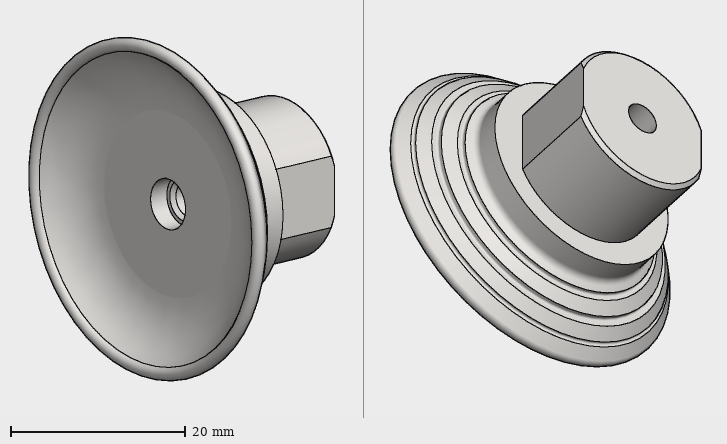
import cadquery as cq
import math

length = 22.0
cup_radius = 20.0
rim_bead_radius = 0.8
bead_end_angle = 40.0

floor_radius = 10.95
floor_depth = 4.0
wall_arc_radius = 10.0

skirt_steps = [
    (18.2, 3.0, 2.58, 18.6),
    (15.95, 4.9, 4.25, 16.85),
    (13.7, 6.45, 5.9, 14.4),
]
step_fillet = 0.25

collar_radius = 12.5
collar_front = 7.7
collar_back = 10.5
neck_end_radius = 13.0
neck_end = 6.85
spigot_radius = 9.5
spigot_chamfer = 0.5
width_across_flats = 17.0

bore_radius = 2.0
seat_radius = 2.5
counterbore_radius = 3.0
counterbore_depth = 2.5
seat_length = 0.5

bead_centre_radius = cup_radius - rim_bead_radius


def wall_point(angle):
    """Point (radius, depth) on the bowl wall, at an angle swept from the floor edge."""
    return (
        floor_radius + wall_arc_radius * math.sin(angle),
        floor_depth - wall_arc_radius * (1 - math.cos(angle)),
    )


def mouth_angle():
    """Sweep of the bowl wall, from the floor edge to where its arc meets the bead circle."""
    across = bead_centre_radius - floor_radius
    along = rim_bead_radius - (floor_depth - wall_arc_radius)
    distance = math.hypot(across, along)
    cosine = (wall_arc_radius**2 + distance**2 - rim_bead_radius**2) / (2 * wall_arc_radius * distance)
    return math.atan2(across, along) - math.acos(cosine)


def make_cup():
    """Solid of revolution: bowl, bead rim, stepped skirt, neck and collar."""
    wall_sweep = mouth_angle()
    end_angle = math.radians(bead_end_angle)
    bead_end = (
        bead_centre_radius + rim_bead_radius * math.sin(end_angle),
        rim_bead_radius * (1 + math.cos(end_angle)),
    )
    profile = (
        cq.Workplane("XY")
        .moveTo(0, floor_depth)
        .lineTo(floor_radius, floor_depth)
        .threePointArc(wall_point(wall_sweep / 2), wall_point(wall_sweep))
        .threePointArc((bead_centre_radius, 0), bead_end)
    )
    fillet_middle = step_fillet * (1 - math.sqrt(0.5))
    for radius, back, front, plane_radius in skirt_steps:
        profile = (
            profile.lineTo(plane_radius, front)
            .lineTo(radius + step_fillet, front)
            .threePointArc(
                (radius + fillet_middle, front + fillet_middle),
                (radius, front + step_fillet),
            )
            .lineTo(radius, back)
        )
    return (
        profile.lineTo(neck_end_radius, neck_end)
        .tangentArcPoint((collar_radius, collar_front), relative=False)
        .lineTo(collar_radius, collar_back)
        .lineTo(0, collar_back)
        .close()
        .revolve(360, (0, 0), (0, 1))
    )


def make_spigot():
    """Round spigot behind the collar, chamfered at the back, with two flats facing +X and -X."""
    spigot_length = length - collar_front
    round_bar = (
        cq.Workplane("XZ", origin=(0, collar_front, 0))
        .circle(spigot_radius)
        .extrude(-spigot_length)
        .faces(">Y")
        .chamfer(spigot_chamfer)
    )
    flats = cq.Workplane("XY").box(width_across_flats, 2 * length, 2 * spigot_radius)
    return round_bar.intersect(flats)


def make_bore():
    """Counterbore behind the cup floor, conical seat, then a plain hole through the spigot."""
    seat_start = floor_depth + counterbore_depth
    seat_end = seat_start + seat_length
    return (
        cq.Workplane("XY")
        .moveTo(0, floor_depth)
        .lineTo(counterbore_radius, floor_depth)
        .lineTo(counterbore_radius, seat_start)
        .lineTo(seat_radius, seat_start)
        .lineTo(bore_radius, seat_end)
        .lineTo(bore_radius, length)
        .lineTo(0, length)
        .close()
        .revolve(360, (0, 0), (0, 1))
    )


result = make_cup().union(make_spigot()).cut(make_bore())